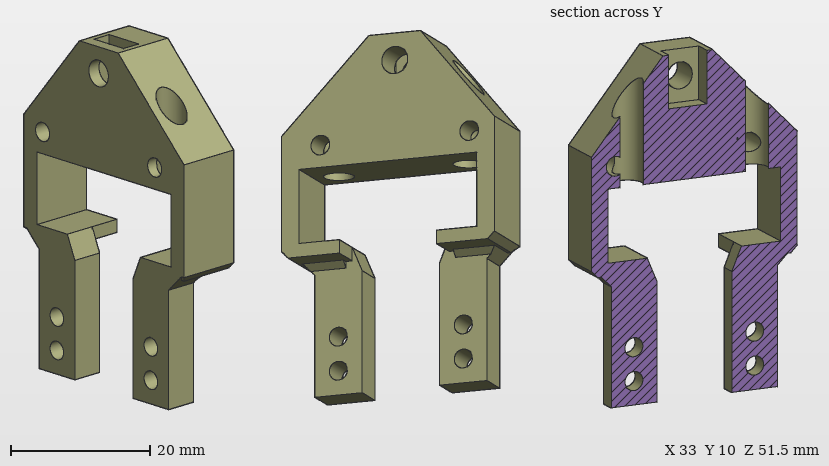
import cadquery as cq

width = 33.0
depth = 10.0
height = 51.5
half_width = width / 2

crest_left = -5.05
crest_width = 8.0
shoulder_z = 37.75

wall = 2.75
window_top = 32.65
window_bottom = 21.65
ledge_end = 7.5
ledge_underside = 19.65
body_chamfer = 1.05
body_corner_z = ledge_underside + body_chamfer

leg_depth = depth / 2
leg_outer = 13.35
leg_inner = 5.95
leg_top = 18.05
hip_x = leg_outer + body_corner_z - leg_top
gusset = 1.0
gusset_inner = ledge_end + gusset

pivot_diameter = 4.0
pivot_x = -1.1
pivot_z = height - pivot_diameter
body_hole_diameter = 2.9
body_hole_spacing = 23.05
body_hole_z = 35.95
leg_hole_diameter = 2.8
leg_hole_x = 9.7
leg_hole_heights = (3.6, 8.65)

bore_diameter = 4.5
bore_x = 10.05
bore_y = 3.8
slot_length = 6.1
slot_width = 3.05
slot_x = pivot_x
slot_y = 3.55
slot_depth = 8.0


def prism(points, length):
    """Extrude an XZ outline from the front face toward +Y."""
    return cq.Workplane("XZ").polyline(points).close().extrude(-length)


def make_body():
    body = prism(
        [
            (-half_width, ledge_underside),
            (half_width, ledge_underside),
            (half_width, shoulder_z),
            (crest_left + crest_width, height),
            (crest_left, height),
            (-half_width, shoulder_z),
        ],
        depth,
    )
    body = body.faces("<Z").edges("<Y or <X or >X").chamfer(body_chamfer)
    window_half = half_width - wall
    window = prism(
        [
            (-window_half, window_bottom),
            (-ledge_end, window_bottom),
            (-ledge_end, 0),
            (ledge_end, 0),
            (ledge_end, window_bottom),
            (window_half, window_bottom),
            (window_half, window_top),
            (-window_half, window_top),
        ],
        depth,
    )
    return body.cut(window)


def make_leg(side):
    """Leg on the given side (-1 left, 1 right), with the gusset behind its top."""
    outline = [
        (hip_x, body_corner_z),
        (leg_outer, leg_top),
        (leg_outer, 0),
        (leg_inner, 0),
        (leg_inner, leg_top),
        (ledge_end, window_bottom),
        (hip_x, window_bottom),
    ]
    side_outline = [(side * x, z) for x, z in outline]
    leg = prism(side_outline, leg_depth)
    gusset_profile = [
        (leg_depth, ledge_underside),
        (leg_depth, ledge_underside - gusset),
        (leg_depth + gusset, ledge_underside),
    ]
    brace = (
        cq.Workplane("YZ", origin=(side * gusset_inner, 0, 0))
        .polyline(gusset_profile)
        .close()
        .extrude(side * (hip_x - gusset_inner))
    )
    brace = brace.intersect(prism(side_outline, depth))
    return leg.union(brace)


def cross_holes(points, diameter):
    return cq.Workplane("XZ").pushPoints(points).circle(diameter / 2).extrude(-depth)


def vertical_bores():
    """Bores from the sloping shoulders down into the window."""
    return (
        cq.Workplane("XY", origin=(0, 0, window_top))
        .pushPoints([(-bore_x, bore_y), (bore_x, bore_y)])
        .circle(bore_diameter / 2)
        .extrude(height - window_top)
    )


def crest_slot():
    """Blind rectangular slot that meets the pivot hole."""
    return (
        cq.Workplane("XY", origin=(slot_x, slot_y, height))
        .rect(slot_length, slot_width)
        .extrude(-slot_depth)
    )


result = make_body()
for side in (-1, 1):
    result = result.union(make_leg(side))

leg_hole_points = [(side * leg_hole_x, z) for side in (-1, 1) for z in leg_hole_heights]
body_hole_points = [(pivot_x + side * body_hole_spacing / 2, body_hole_z) for side in (-1, 1)]

result = result.cut(cross_holes([(pivot_x, pivot_z)], pivot_diameter))
result = result.cut(cross_holes(body_hole_points, body_hole_diameter))
result = result.cut(cross_holes(leg_hole_points, leg_hole_diameter))
result = result.cut(vertical_bores())
result = result.cut(crest_slot())